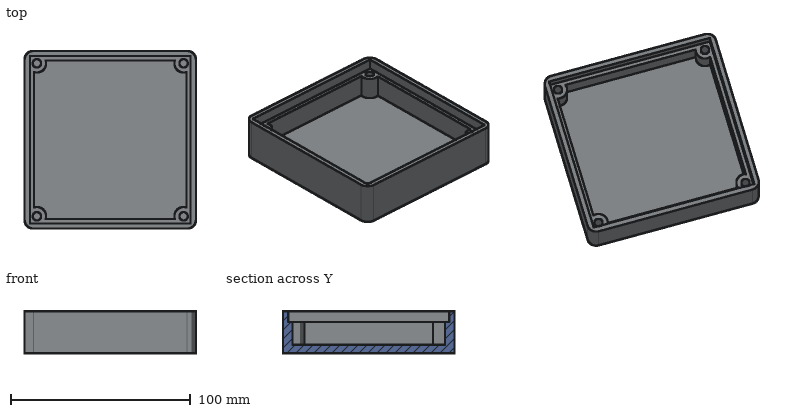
import cadquery as cq

length_x = 95.6
length_y = 99.1
height = 23.6
corner_radius = 5.0

rim_thickness = 3.0
wall_thickness = 5.4
recess_depth = 5.9
floor_thickness = 5.0
ledge_height = height - recess_depth
cavity_depth = ledge_height - floor_thickness

post_inset = 6.9
post_radius = 5.2
screw_hole_diameter = 4.7
screw_hole_depth = cavity_depth


def inset_block(inset, bottom, depth):
    """Centred square-cornered block, set in from the outer sides."""
    return (
        cq.Workplane("XY")
        .workplane(offset=bottom)
        .rect(length_x - 2 * inset, length_y - 2 * inset)
        .extrude(depth)
    )


def corner_cylinders(radius, bottom, depth):
    """Four upright cylinders on the screw axes."""
    return (
        cq.Workplane("XY")
        .workplane(offset=bottom)
        .rect(length_x - 2 * post_inset, length_y - 2 * post_inset, forConstruction=True)
        .vertices()
        .circle(radius)
        .extrude(depth)
    )


body = inset_block(0, 0, height).edges("|Z").fillet(corner_radius)
recess = inset_block(rim_thickness, ledge_height, recess_depth)

posts = corner_cylinders(post_radius, floor_thickness, cavity_depth)
cavity = inset_block(wall_thickness, floor_thickness, cavity_depth).cut(posts)

screw_holes = corner_cylinders(
    screw_hole_diameter / 2, ledge_height - screw_hole_depth, screw_hole_depth
)

result = body.cut(recess).cut(cavity).cut(screw_holes)